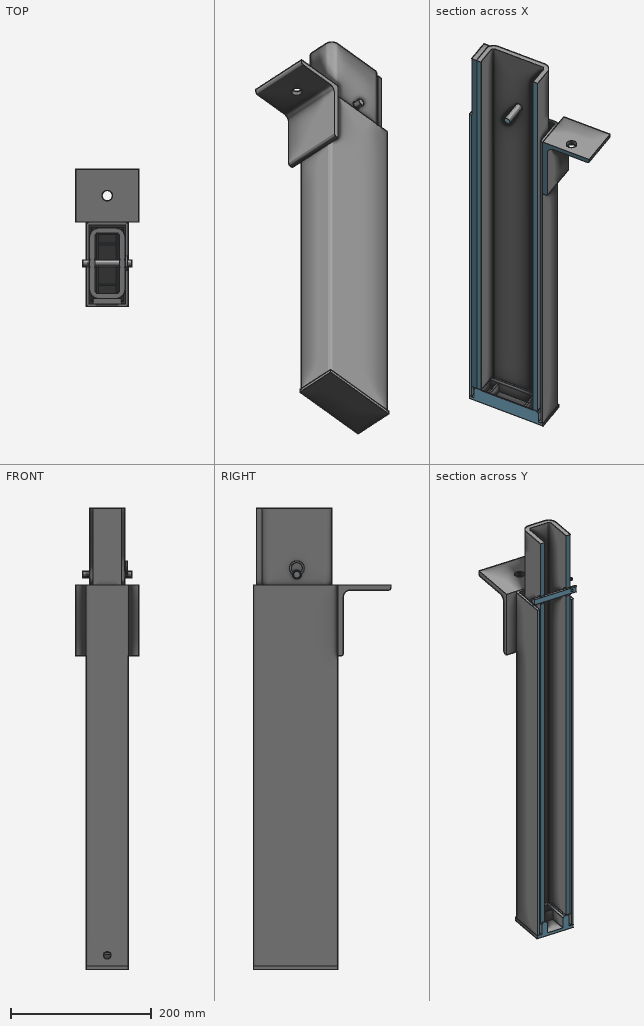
import cadquery as cq
TOTAL_HEIGHT = 655.0
OUTER_X = 60.0
OUTER_Y = 120.0
OUTER_WALL = 4.0
OUTER_CORNER = 4.5
OUTER_TOP = 546.0
DRAIN_DIAMETER = 10.5
DRAIN_Z = 20.0

FLANGE_HEIGHT = 5.0
PLUG_TOP = 24.0
PLUG_CHAMFER = 2.5
PLUG_CLEARANCE = 3.0
PLUG_WALL = 10.5
RIB_THICKNESS = 2.5
RIB_Y = 29.0

INNER_X = 50.0
INNER_Y = 99.5
INNER_WALL = 7.0
INNER_CORNER = 12.0
STRIP_X = 40.0
STRIP_THICKNESS = 8.0

PIN_DIAMETER = 10.0
PIN_HOLE = 12.5
PIN_LENGTH = 70.0
PIN_Z = 561.0
RING_RADIUS = 9.0
RING_WIDTH = 2.5
RING_THICKNESS = 2.5
RING_GAP = 1.0

BRACKET_X = 90.0
BRACKET_REACH = 75.0
BRACKET_DROP = 101.0
BRACKET_THICKNESS = 8.0
BRACKET_ROOT_RADIUS = 9.0
BRACKET_TOE_RADIUS = 4.0
BRACKET_HOLE = 14.5

BORE_X = OUTER_X - 2 * OUTER_WALL
BORE_Y = OUTER_Y - 2 * OUTER_WALL
STRIP_CENTRE_Y = -BORE_Y / 2 + STRIP_THICKNESS / 2
INNER_CENTRE_Y = -BORE_Y / 2 + STRIP_THICKNESS + INNER_Y / 2
SKIRT_X = BORE_X - 2 * PLUG_CLEARANCE
SKIRT_Y = BORE_Y - 2 * PLUG_CLEARANCE
POCKET_X = SKIRT_X - 2 * PLUG_WALL
POCKET_Y = SKIRT_Y - 2 * PLUG_WALL
RING_X = INNER_X / 2 + RING_GAP


def block(size_x, size_y, z_low, z_high, centre_y=0.0):
    """Upright box between two heights."""
    return (
        cq.Workplane("XY", origin=(0, centre_y, z_low))
        .rect(size_x, size_y)
        .extrude(z_high - z_low)
    )


def rectangular_tube(size_x, size_y, wall, corner, z_low, z_high, centre_y=0.0):
    """Upright rectangular tube with rounded corners inside and outside."""
    outside = block(size_x, size_y, z_low, z_high, centre_y).edges("|Z").fillet(corner)
    bore = block(size_x - 2 * wall, size_y - 2 * wall, z_low, z_high, centre_y)
    if corner > wall:
        bore = bore.edges("|Z").fillet(corner - wall)
    return outside.cut(bore)


def cross_rod(diameter, length):
    """Rod along X through the pin position."""
    return (
        cq.Workplane("YZ", origin=(-length / 2, INNER_CENTRE_Y, PIN_Z))
        .circle(diameter / 2)
        .extrude(length)
    )


def make_ring():
    """Flat ring standing in a YZ plane, its lowest stretch threaded through the pin."""
    return (
        cq.Workplane("YZ", origin=(RING_X, INNER_CENTRE_Y, PIN_Z + RING_RADIUS))
        .circle(RING_RADIUS + RING_WIDTH / 2)
        .circle(RING_RADIUS - RING_WIDTH / 2)
        .extrude(RING_THICKNESS)
    )


def make_outer_tube():
    """Outer tube with a drain hole low in its front wall."""
    tube = rectangular_tube(OUTER_X, OUTER_Y, OUTER_WALL, OUTER_CORNER, FLANGE_HEIGHT, OUTER_TOP)
    drain = (
        cq.Workplane("XZ", origin=(0, -BORE_Y / 2, DRAIN_Z))
        .circle(DRAIN_DIAMETER / 2)
        .extrude(OUTER_WALL)
    )
    return tube.cut(drain)


def make_plug():
    """Flange with a hollow skirt, chamfered inside and out, and two thin cross ribs."""
    flange = block(OUTER_X, OUTER_Y, 0, FLANGE_HEIGHT)
    skirt = block(SKIRT_X, SKIRT_Y, FLANGE_HEIGHT, PLUG_TOP)
    skirt = skirt.cut(block(POCKET_X, POCKET_Y, FLANGE_HEIGHT, PLUG_TOP))
    plug = flange.union(skirt.faces(">Z").chamfer(PLUG_CHAMFER))
    for rib_y in (-RIB_Y, RIB_Y):
        rib = block(POCKET_X, RIB_THICKNESS, FLANGE_HEIGHT, PLUG_TOP - PLUG_CHAMFER, rib_y)
        plug = plug.union(rib)
    return plug


def make_bracket():
    """Angle with one leg against the tube and one leg level with the tube top."""
    back = OUTER_Y / 2
    bottom = OUTER_TOP - BRACKET_DROP
    under = OUTER_TOP - BRACKET_THICKNESS
    bracket = (
        cq.Workplane("YZ", origin=(-BRACKET_X / 2, 0, 0))
        .moveTo(back, OUTER_TOP)
        .lineTo(back + BRACKET_REACH, OUTER_TOP)
        .lineTo(back + BRACKET_REACH, under)
        .lineTo(back + BRACKET_THICKNESS, under)
        .lineTo(back + BRACKET_THICKNESS, bottom)
        .lineTo(back, bottom)
        .close()
        .extrude(BRACKET_X)
    )
    at = cq.selectors.NearestToPointSelector
    bracket = bracket.edges(at((0, back + BRACKET_THICKNESS, under))).fillet(BRACKET_ROOT_RADIUS)
    bracket = bracket.edges(at((0, back + BRACKET_REACH, under))).fillet(BRACKET_TOE_RADIUS)
    bracket = bracket.edges(at((0, back + BRACKET_THICKNESS, bottom))).fillet(BRACKET_TOE_RADIUS)
    hole = (
        cq.Workplane("XY", origin=(0, back + BRACKET_REACH / 2, under))
        .circle(BRACKET_HOLE / 2)
        .extrude(BRACKET_THICKNESS)
    )
    return bracket.cut(hole)


def make_inner_tube():
    """Inner tube resting on the plug, drilled across for the pin."""
    tube = rectangular_tube(
        INNER_X, INNER_Y, INNER_WALL, INNER_CORNER, PLUG_TOP, TOTAL_HEIGHT, INNER_CENTRE_Y
    )
    return tube.cut(cross_rod(PIN_HOLE, PIN_LENGTH))


outer_tube = make_outer_tube()
inner_tube = make_inner_tube()
strip = block(STRIP_X, STRIP_THICKNESS, PLUG_TOP, TOTAL_HEIGHT, STRIP_CENTRE_Y)
ring = make_ring()
pin = cross_rod(PIN_DIAMETER, PIN_LENGTH).cut(ring)
bracket = make_bracket()
plug = make_plug()

bodies = (outer_tube, inner_tube, strip, pin, ring, bracket, plug)
result = cq.Compound.makeCompound([body.val() for body in bodies])